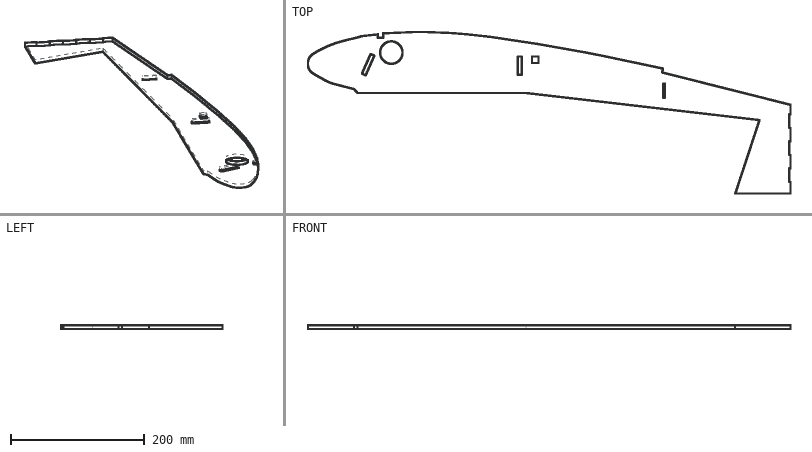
import cadquery as cq
import math

length = 721.0
height = 241.5
thickness = 6.0

nose_tip = (0.0, 194.0)
upper_front = [(11.0, 210.5), (32.5, 221.0), (54.0, 228.5), (76.0, 233.5), (104.5, 238.0)]
upper_crest = (171.5, height)
upper_rear = [(239.0, 238.0), (343.0, 223.5), (412.5, 211.0), (531.0, 187.0)]
lower_nose_end = (69.0, 156.0)
lower_nose = [(11.0, 177.5), (32.5, 166.0)]

notch_width = 8.0
notch_floor = 233.0
notch_rear_top = 239.5

tail_step = (529.0, 181.0)
tail_top = 133.0
belly_y = 150.0
belly_start_x = 74.0
belly_end_x = 326.0
leg_inner_corner = (674.0, 109.5)
leg_foot_x = 638.0

end_notch_depth = 2.0
end_notch_height = 20.0
end_notch_pitch = 40.5
first_end_notch_y = 17.0
end_notch_count = 3

hole_center = (125.0, 210.5)
hole_diameter = 33.0
tilted_slot_center = (90.0, 192.5)
tilted_slot_length = 32.0
tilted_slot_width = 6.0
tilted_slot_angle = math.degrees(math.atan2(9, 4))
spar_slot_center = (316.5, 191.0)
spar_slot_size = (6.0, 27.0)
square_center = (339.5, 200.0)
square_side = 9.5
rear_slot_center = (532.0, 153.5)
rear_slot_size = (2.0, 21.0)


def rectangle(center, size, angle=0):
    """Through-thickness rectangular cutter, turned by angle about its center."""
    block = cq.Workplane("XY").rect(*size).extrude(thickness)
    return block.rotate((0, 0, 0), (0, 0, 1), angle).translate((center[0], center[1], 0))


def rib_plate():
    """Solid plate bounded by the curved wing outline and the tail leg."""
    notch_front = upper_front[-1]
    notch_rear_x = notch_front[0] + notch_width
    return (
        cq.Workplane("XY")
        .moveTo(*nose_tip)
        .spline(upper_front, tangents=[(0, 1), (1, 0.1)], includeCurrent=True)
        .lineTo(notch_front[0], notch_floor)
        .lineTo(notch_rear_x, notch_floor)
        .lineTo(notch_rear_x, notch_rear_top)
        .spline([upper_crest] + upper_rear, includeCurrent=True)
        .lineTo(*tail_step)
        .lineTo(length, tail_top)
        .lineTo(length, 0)
        .lineTo(leg_foot_x, 0)
        .lineTo(*leg_inner_corner)
        .lineTo(belly_end_x, belly_y)
        .lineTo(belly_start_x, belly_y)
        .lineTo(*lower_nose_end)
        .spline(lower_nose[::-1] + [nose_tip], tangents=[(-1, 0.25), (0, 1)], includeCurrent=True)
        .close()
        .extrude(thickness)
    )


result = rib_plate()

for index in range(end_notch_count):
    notch_center_y = first_end_notch_y + end_notch_height / 2 + index * end_notch_pitch
    result = result.cut(rectangle((length, notch_center_y), (2 * end_notch_depth, end_notch_height)))

hole = cq.Workplane("XY").center(*hole_center).circle(hole_diameter / 2).extrude(thickness)
result = result.cut(hole)
result = result.cut(
    rectangle(tilted_slot_center, (tilted_slot_length, tilted_slot_width), tilted_slot_angle)
)
result = result.cut(rectangle(spar_slot_center, spar_slot_size))
result = result.cut(rectangle(square_center, (square_side, square_side)))
result = result.cut(rectangle(rear_slot_center, rear_slot_size))